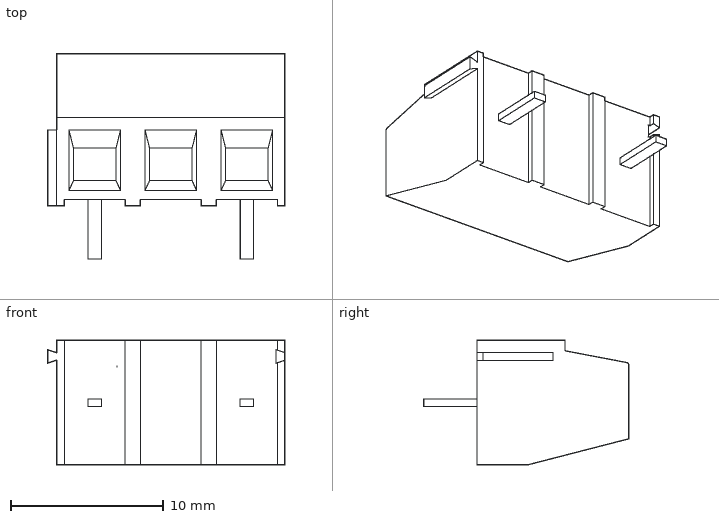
import cadquery as cq

PITCH = 5.0
POLES = 3
BODY_WIDTH = PITCH * POLES
BODY_DEPTH = 10.0
BODY_HEIGHT = 8.2

LEDGE_Y = 5.8
LEDGE_Z = 7.5
BACK_TOP_Z = 6.7
BACK_EDGE_RADIUS = 0.2
BACK_BOTTOM_Z = 1.7
UNDERSIDE_Y = 3.4

RIB_WIDTH = 1.0
RECESS_DEPTH = 0.4

POCKET_FRONT_Y = 1.0
POCKET_BACK_Y = 5.0
POCKET_WIDTH = 3.4
FLOOR_FRONT_Y = 1.65
FLOOR_BACK_Y = 3.8
FLOOR_WIDTH = 2.8
POCKET_DEPTH = 2.2

PIN_WIDTH = 0.9
PIN_THICKNESS = 0.5
PIN_LENGTH = 3.5
PIN_Z = 4.08
PIN_POLES = (0, POLES - 1)

DOVETAIL_DEPTH = 0.6
DOVETAIL_LENGTH = 5.0
DOVETAIL_Z = 7.12
DOVETAIL_WIDE = 0.9
DOVETAIL_NECK = 0.5


def pole_center(pole):
    return (pole + 0.5) * PITCH


def block(x_min, x_max, y_min, y_max, z_min, z_max):
    size = (x_max - x_min, y_max - y_min, z_max - z_min)
    return cq.Workplane("XY").box(*size, centered=False).translate((x_min, y_min, z_min))


def make_body():
    profile = [
        (0, 0),
        (UNDERSIDE_Y, 0),
        (BODY_DEPTH, BACK_BOTTOM_Z),
        (BODY_DEPTH, BACK_TOP_Z),
        (LEDGE_Y, LEDGE_Z),
        (LEDGE_Y, BODY_HEIGHT),
        (0, BODY_HEIGHT),
    ]
    body = cq.Workplane("YZ").polyline(profile).close().extrude(BODY_WIDTH)
    back_top_edge = cq.selectors.NearestToPointSelector((BODY_WIDTH / 2, BODY_DEPTH, BACK_TOP_Z))
    return body.edges(back_top_edge).fillet(BACK_EDGE_RADIUS)


def make_recess(pole):
    half_width = (PITCH - RIB_WIDTH) / 2
    x = pole_center(pole)
    return block(x - half_width, x + half_width, 0, RECESS_DEPTH, 0, BODY_HEIGHT)


def make_pocket(pole):
    mouth_y = (POCKET_FRONT_Y + POCKET_BACK_Y) / 2
    floor_y = (FLOOR_FRONT_Y + FLOOR_BACK_Y) / 2
    return (
        cq.Workplane("XY", origin=(pole_center(pole), 0, BODY_HEIGHT))
        .center(0, mouth_y)
        .rect(POCKET_WIDTH, POCKET_BACK_Y - POCKET_FRONT_Y)
        .workplane(offset=-POCKET_DEPTH)
        .center(0, floor_y - mouth_y)
        .rect(FLOOR_WIDTH, FLOOR_BACK_Y - FLOOR_FRONT_Y)
        .loft(ruled=True)
    )


def make_pin(pole):
    x = pole_center(pole)
    half_width = PIN_WIDTH / 2
    half_thickness = PIN_THICKNESS / 2
    return block(
        x - half_width,
        x + half_width,
        -PIN_LENGTH,
        RECESS_DEPTH,
        PIN_Z - half_thickness,
        PIN_Z + half_thickness,
    )


def make_dovetail(neck_x):
    """Dovetail bar whose neck lies at neck_x and which widens toward -X."""
    wide_x = neck_x - DOVETAIL_DEPTH
    profile = [
        (neck_x, DOVETAIL_Z - DOVETAIL_NECK / 2),
        (neck_x, DOVETAIL_Z + DOVETAIL_NECK / 2),
        (wide_x, DOVETAIL_Z + DOVETAIL_WIDE / 2),
        (wide_x, DOVETAIL_Z - DOVETAIL_WIDE / 2),
    ]
    return cq.Workplane("XZ").polyline(profile).close().extrude(-DOVETAIL_LENGTH)


result = make_body()
for pole_index in range(POLES):
    result = result.cut(make_recess(pole_index))
    result = result.cut(make_pocket(pole_index))
for pole_index in PIN_POLES:
    result = result.union(make_pin(pole_index))
result = result.union(make_dovetail(0))
result = result.cut(make_dovetail(BODY_WIDTH))